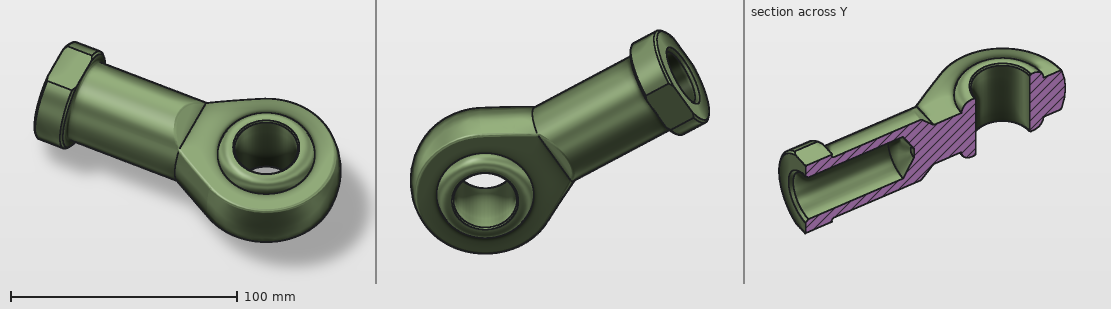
import cadquery as cq
import math

collar_radius = 23.0
collar_length = 14.0
collar_chamfer = 1.0
across_flats = 41.0
root_fillet = 1.0

shank_radius = 18.5
shank_end = 67.0
eye_center = 103.0
eye_radius = 33.0
eye_half_thickness = 12.0
rim_fillet = 1.5

ring_radius = 21.5
ring_half_height = 17.5
ring_fillet = ring_half_height - eye_half_thickness
bore_radius = 14.0
bore_chamfer = 0.7

hole_radius = 12.5
hole_mouth_radius = 14.0
hole_depth = 51.0
hole_tip_radius = 2.7
hole_tip_half_angle = math.radians(60)


def revolve_about_x(profile):
    return profile.close().revolve(360, (0, 0, 0), (1, 0, 0))


def make_eye_and_shank():
    """Shank, cone and spherical eye, thinned to the eye faces and rounded along the rim."""
    shank_to_eye = eye_center - shank_end
    edge_distance = math.hypot(shank_to_eye, shank_radius)
    edge_angle = math.atan2(shank_radius, -shank_to_eye)
    tangent_angle = edge_angle - math.acos(eye_radius / edge_distance)

    def on_sphere(angle):
        return (eye_center + eye_radius * math.cos(angle), eye_radius * math.sin(angle))

    body = revolve_about_x(
        cq.Workplane("XY")
        .lineTo(0, shank_radius)
        .lineTo(shank_end, shank_radius)
        .lineTo(*on_sphere(tangent_angle))
        .threePointArc(on_sphere(tangent_angle / 2), on_sphere(0))
    )

    beyond = eye_center + 2 * eye_radius
    rise = 2 * eye_radius
    upper_cut = (
        cq.Workplane("XZ")
        .moveTo(shank_end, eye_half_thickness)
        .lineTo(beyond, eye_half_thickness)
        .lineTo(beyond, eye_half_thickness + rise)
        .lineTo(shank_end - rise, eye_half_thickness + rise)
        .close()
        .extrude(2 * eye_radius, both=True)
    )
    body = body.cut(upper_cut).cut(upper_cut.mirror("XY"))

    face_rim = body.faces("|Z").edges("not |Y")
    ramp_zone = cq.selectors.BoxSelector(
        (shank_end - shank_radius, -shank_radius, -shank_radius),
        (shank_end - rim_fillet, shank_radius, shank_radius),
    )
    return face_rim.add(body.edges(ramp_zone)).fillet(rim_fillet)


def make_collar():
    """Chamfered round collar with a flat above and below, and a fillet at the shank."""
    collar = cq.Workplane("YZ").circle(collar_radius).extrude(collar_length)
    collar = collar.edges().chamfer(collar_chamfer)
    flats = cq.Workplane("XY").box(4 * collar_length, 4 * collar_radius, across_flats)
    root = revolve_about_x(
        cq.Workplane("XY")
        .moveTo(collar_length, 0)
        .lineTo(collar_length, shank_radius + root_fillet)
        .radiusArc((collar_length + root_fillet, shank_radius), -root_fillet)
        .lineTo(collar_length + root_fillet, 0)
    )
    return collar.intersect(flats).union(root)


def make_ring():
    """Rounded ring of the ball, on the Z axis of the eye."""
    return (
        cq.Workplane("XY")
        .center(eye_center, 0)
        .circle(ring_radius)
        .extrude(ring_half_height, both=True)
        .edges(">Z or <Z")
        .fillet(ring_fillet)
    )


def make_bore():
    """Through bore of the ring, widened by a chamfer at both ends."""
    mouth_radius = bore_radius + bore_chamfer
    chamfer_start = ring_half_height - bore_chamfer
    return (
        cq.Workplane("XZ")
        .moveTo(0, -ring_half_height)
        .lineTo(mouth_radius, -ring_half_height)
        .lineTo(bore_radius, -chamfer_start)
        .lineTo(bore_radius, chamfer_start)
        .lineTo(mouth_radius, ring_half_height)
        .lineTo(0, ring_half_height)
        .close()
        .revolve()
        .translate((eye_center, 0, 0))
    )


def make_blind_hole():
    """Thread core hole with a countersunk mouth."""
    tip_length = (hole_radius - hole_tip_radius) / math.tan(hole_tip_half_angle)
    return revolve_about_x(
        cq.Workplane("XY")
        .lineTo(0, hole_mouth_radius)
        .lineTo(hole_mouth_radius - hole_radius, hole_radius)
        .lineTo(hole_depth, hole_radius)
        .lineTo(hole_depth + tip_length, hole_tip_radius)
        .lineTo(hole_depth + tip_length, 0)
    )


result = (
    make_eye_and_shank()
    .union(make_collar())
    .union(make_ring())
    .cut(make_bore())
    .cut(make_blind_hole())
)